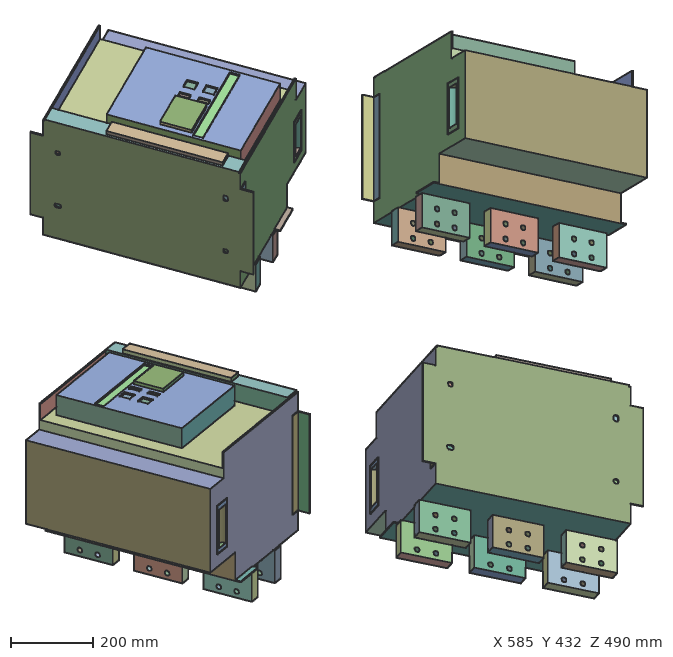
import cadquery as cq


BODY_WIDTH = 518
BODY_DEPTH = 432
SHEET = 4
CHEEK_TOP = 380
CHEEK_DEPTH = 367
REAR_TOP = 309
REAR_BOTTOM = 79
BOTTOM_DEPTH = 309
FLOOR_Z = 336
INNER_WIDTH = BODY_WIDTH - 2 * SHEET

RAIL_DEPTH = 45
RAIL_TOP = CHEEK_TOP + SHEET
STRIP_X = (-95, 210)
STRIP_Y = (6.5, 42)
STRIP_TOP = 395

PANEL_X = (-118, 234)
PANEL_Y = (66, 325)
PANEL_TOP = 391
DISPLAY_X = (16, 99)
DISPLAY_Y = (81, 182)
DISPLAY_TOP = 400
RECESS_DEPTH = 5
SLOT_X = (105, 131)
SLOT_Y = (74.5, 318)
BUTTON_COLUMNS = ((18, 47), (69, 98))
BUTTON_ROWS = ((194, 207), (228, 254))

BAR_WIDTH = 136
BAR_THICKNESS = 30
BAR_LENGTH = 90
BAR_PITCH = 195
BAR_REAR_FACES = (122, 235)
HOLE_DIAMETER = 13
BAR_HOLE_X = 25
BAR_HOLE_ROWS = (-72.5, -33)

OVERALL_WIDTH = 585
WING_Z = (56, 328)
WING_LEG = 30
WING_LEG_THICKNESS = 2
FOOT_SPAN = 548
FOOT_Y = (225, BOTTOM_DEPTH)
FOOT_THICKNESS = 3
MOUNT_X = 220
MOUNT_Z = (109, 284)
MOUNT_SLOT_LENGTH = 18
MOUNT_HOLE_DEPTH = SHEET

HANDLE_Y = 376
HANDLE_Z = 181.5
HANDLE_FRAME_WIDTH = 49
HANDLE_FRAME_HEIGHT = 133
HANDLE_FRAME_THICKNESS = 2
HANDLE_POCKET_WIDTH = 33
HANDLE_POCKET_HEIGHT = 106


def block(x_range, y_range, z_range):
    """Box between the given limits."""
    size = [high - low for low, high in (x_range, y_range, z_range)]
    return cq.Workplane("XY").box(*size, centered=False).translate((x_range[0], y_range[0], z_range[0]))


def mirrored(shape):
    """Shape together with its mirror image across the YZ plane."""
    return shape.union(shape.mirror("YZ"))


def housing():
    profile = [
        (0, 0),
        (BOTTOM_DEPTH, 0),
        (BOTTOM_DEPTH, REAR_BOTTOM),
        (BODY_DEPTH, REAR_BOTTOM),
        (BODY_DEPTH, REAR_TOP),
        (CHEEK_DEPTH, REAR_TOP),
        (CHEEK_DEPTH, CHEEK_TOP),
        (0, CHEEK_TOP),
    ]
    body = cq.Workplane("YZ").polyline(profile).close().extrude(BODY_WIDTH / 2, both=True)
    inner_x = (-INNER_WIDTH / 2, INNER_WIDTH / 2)
    trough = block(inner_x, (RAIL_DEPTH, CHEEK_DEPTH), (FLOOR_Z, CHEEK_TOP))
    rail_cap = block(inner_x, (0, RAIL_DEPTH), (CHEEK_TOP, RAIL_TOP))
    strip = block(STRIP_X, STRIP_Y, (RAIL_TOP, STRIP_TOP))
    return body.cut(trough).union(rail_cap).union(strip)


def control_panel():
    panel = block(PANEL_X, PANEL_Y, (FLOOR_Z, PANEL_TOP))
    recess_z = (PANEL_TOP - RECESS_DEPTH, PANEL_TOP)
    panel = panel.cut(block(SLOT_X, SLOT_Y, recess_z))
    for column in BUTTON_COLUMNS:
        for row in BUTTON_ROWS:
            panel = panel.cut(block(column, row, recess_z))
    return panel.union(block(DISPLAY_X, DISPLAY_Y, (PANEL_TOP, DISPLAY_TOP)))


def terminal_bar(x_center, rear_face):
    x_range = (x_center - BAR_WIDTH / 2, x_center + BAR_WIDTH / 2)
    bar = block(x_range, (rear_face - BAR_THICKNESS, rear_face), (-BAR_LENGTH, 0))
    centers = [(x_center + side * BAR_HOLE_X, z) for side in (-1, 1) for z in BAR_HOLE_ROWS]
    holes = (
        cq.Workplane("XZ", origin=(0, rear_face, 0))
        .pushPoints(centers)
        .circle(HOLE_DIAMETER / 2)
        .extrude(BAR_THICKNESS)
    )
    return bar.cut(holes)


def wings():
    side = BODY_WIDTH / 2
    wing = block((side, OVERALL_WIDTH / 2), (0, SHEET), WING_Z)
    leg = block((side, side + WING_LEG_THICKNESS), (0, WING_LEG), WING_Z)
    return mirrored(wing.union(leg))


def feet():
    return block((-FOOT_SPAN / 2, FOOT_SPAN / 2), FOOT_Y, (0, FOOT_THICKNESS))


def mounting_slot(x, z, angle):
    face = cq.Workplane("XZ", origin=(x, MOUNT_HOLE_DEPTH, z))
    return face.slot2D(MOUNT_SLOT_LENGTH, HOLE_DIAMETER, angle).extrude(MOUNT_HOLE_DEPTH)


def mounting_holes():
    """Two round holes and two slots, one lying and one standing, in the mounting face."""
    low, high = MOUNT_Z
    round_holes = (
        cq.Workplane("XZ", origin=(0, MOUNT_HOLE_DEPTH, 0))
        .pushPoints([(-MOUNT_X, high), (MOUNT_X, low)])
        .circle(HOLE_DIAMETER / 2)
        .extrude(MOUNT_HOLE_DEPTH)
    )
    return round_holes.union(mounting_slot(-MOUNT_X, low, 0)).union(mounting_slot(MOUNT_X, high, 90))


def handle_frames():
    frame = cq.Workplane("XY").box(HANDLE_FRAME_THICKNESS, HANDLE_FRAME_WIDTH, HANDLE_FRAME_HEIGHT)
    x_center = (BODY_WIDTH + HANDLE_FRAME_THICKNESS) / 2
    return mirrored(frame.translate((x_center, HANDLE_Y, HANDLE_Z)))


def handle_pockets():
    """Half-round finger pockets, opening through the handle frames."""
    outer_x = BODY_WIDTH / 2 + HANDLE_FRAME_THICKNESS
    pocket = cq.Workplane("XY").cylinder(HANDLE_POCKET_HEIGHT, HANDLE_POCKET_WIDTH / 2)
    return mirrored(pocket.translate((outer_x, HANDLE_Y, HANDLE_Z)))


result = housing().union(control_panel()).union(wings()).union(feet()).union(handle_frames())
for bar_index in (-1, 0, 1):
    for bar_face in BAR_REAR_FACES:
        result = result.union(terminal_bar(bar_index * BAR_PITCH, bar_face))
result = result.cut(handle_pockets()).cut(mounting_holes())